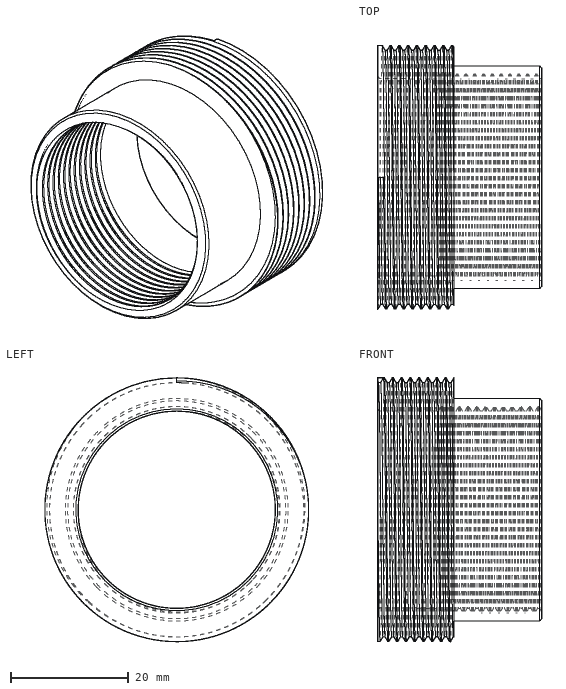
import cadquery as cq
import math

total_length = 28.0
flange_length = 13.0
flange_radius = 45.0 / 2
collar_radius = 38.0 / 2
bore_radius = 33.6 / 2
edge_chamfer = 0.4

pitch = 1.5
flank_angle = math.radians(30)
sharp_height = pitch / (2 * math.tan(flank_angle))
thread_depth = 5 / 8 * sharp_height
overcut = 0.1

outer_crest_width = pitch / 8
outer_start = 0.335
outer_end = flange_length + pitch

inner_crest_width = pitch / 4
inner_start = 10.43
inner_end = total_length + pitch
inner_start_angle = 239.0


def turned_body():
    """Flange and collar with a through bore, turned about the Z axis."""
    flange = cq.Workplane("XY").circle(flange_radius).extrude(flange_length)
    collar = cq.Workplane("XY").circle(collar_radius).extrude(total_length)
    collar = collar.faces(">Z").edges().chamfer(edge_chamfer)
    bore = cq.Workplane("XY").circle(bore_radius).extrude(total_length)
    mouth_cone = cq.Workplane("XY").circle(bore_radius + edge_chamfer).extrude(edge_chamfer, taper=45)
    return flange.union(collar).cut(bore).cut(mouth_cone)


def groove_cutter(surface_radius, side, crest_width, start, end):
    """Right-handed helical groove starting on +X; side is -1 to cut inward, +1 to cut outward."""
    mouth_width = pitch - crest_width
    mouth_half = mouth_width / 2 + overcut * math.tan(flank_angle)
    root_half = mouth_width / 2 - thread_depth * math.tan(flank_angle)
    mouth_radius = surface_radius - side * overcut
    root_radius = surface_radius + side * thread_depth
    corners = [
        (mouth_radius, start - mouth_half),
        (mouth_radius, start + mouth_half),
        (root_radius, start + root_half),
        (root_radius, start - root_half),
    ]
    helices = [
        cq.Wire.makeHelix(pitch, end - start, radius, center=cq.Vector(0, 0, height))
        for radius, height in corners
    ]
    neighbours = helices[1:] + helices[:1]
    faces = [cq.Face.makeRuledSurface(first, second) for first, second in zip(helices, neighbours)]
    for fraction in (0, 1):
        cap_corners = [helix.positionAt(fraction) for helix in helices]
        faces.append(cq.Face.makeFromWires(cq.Wire.makePolygon(cap_corners, close=True)))
    return cq.Workplane(cq.Solid.makeSolid(cq.Shell.makeShell(faces)))


outer_groove = groove_cutter(flange_radius, -1, outer_crest_width, outer_start, outer_end)
inner_groove = groove_cutter(bore_radius, 1, inner_crest_width, inner_start, inner_end)
inner_groove = inner_groove.rotate((0, 0, 0), (0, 0, 1), inner_start_angle)

upright = turned_body().cut(outer_groove).cut(inner_groove)

lying = cq.Plane(origin=(0, 0, 0), xDir=(0, 0, 1), normal=(1, 0, 0))
result = cq.Workplane(upright.solids().val().moved(lying.location))